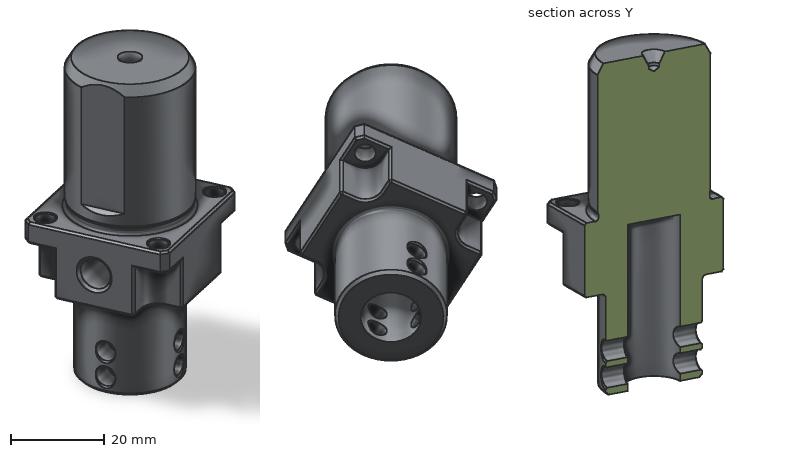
import cadquery as cq

HEIGHT = 75.5
BLOCK_BOTTOM = 23.0
FLANGE_BOTTOM = 34.9
FLANGE_TOP = 40.0

BLOCK_SIDE = 34.5
HALF_SIDE = BLOCK_SIDE / 2
EDGE_CHAMFER = 0.5
FLANGE_CORNER_CHAMFER = 1.5
MOUNT_OFFSET = 13.5
MOUNT_DIAMETER = 4.5
MOUNT_CHAMFER = 0.265
RELIEF_RADIUS = 4.0
ARM_HALF_WIDTH = MOUNT_OFFSET - RELIEF_RADIUS

CAP_RADIUS = 14.05
CAP_TOP_RADIUS = 12.6
CAP_CHAMFER_HEIGHT = 2.4
CAP_BOTTOM = 42.0
NECK_RADIUS = 13.8
NECK_TOP = 41.4
NECK_FILLET = 0.8
FLAT_DISTANCE = 13.05
FLAT_BOTTOM = 45.0

RECESS_RADIUS = 15.2
RECESS_INNER_RADIUS = 14.4
RECESS_DEPTH = 0.11

CENTRE_MOUTH_RADIUS = 2.65
CENTRE_PILOT_RADIUS = 1.3
CENTRE_CONE_DEPTH = 2.5
PILOT_DEPTH = 0.75
PILOT_TIP_DEPTH = 0.75

SPIGOT_RADIUS = 12.0
SPIGOT_FILLET = 1.0
SPIGOT_CHAMFER = 0.75
BORE_RADIUS = 6.5
BORE_TOP = 37.75

PORT_HEIGHT = 31.0
PORT_RADIUS = 3.55
PORT_CHAMFER = 0.7
SPIGOT_HOLE_HEIGHTS = (4.0, 10.05)
SPIGOT_HOLE_RADIUS = 2.3
SPIGOT_HOLE_CHAMFER = 0.4


def slab(bottom):
    """Workplane parallel to the flange at the given height."""
    return cq.Workplane("XY", origin=(0, 0, bottom))


def revolve_profile(profile):
    """Close a half profile along its axis and turn it about that axis, the vertical of its own plane."""
    return profile.close().revolve(360, (0, 0, 0), (0, 1, 0))


def make_flange():
    flange = slab(FLANGE_BOTTOM).rect(BLOCK_SIDE, BLOCK_SIDE).extrude(FLANGE_TOP - FLANGE_BOTTOM)
    flange = flange.edges("|Z").chamfer(FLANGE_CORNER_CHAMFER)
    return flange.faces("<Z or >Z").edges().chamfer(EDGE_CHAMFER)


def make_cross_body():
    height = FLANGE_BOTTOM + EDGE_CHAMFER - BLOCK_BOTTOM
    arm_width = 2 * ARM_HALF_WIDTH
    body = slab(BLOCK_BOTTOM).rect(BLOCK_SIDE, arm_width).extrude(height)
    body = body.union(slab(BLOCK_BOTTOM).rect(arm_width, BLOCK_SIDE).extrude(height))
    inner_edges = cq.selectors.BoxSelector(
        (-MOUNT_OFFSET, -MOUNT_OFFSET, BLOCK_BOTTOM),
        (MOUNT_OFFSET, MOUNT_OFFSET, FLANGE_TOP),
    )
    outer_edges = cq.selectors.StringSyntaxSelector("|Z") - inner_edges
    body = body.edges(outer_edges).chamfer(EDGE_CHAMFER)
    body = body.edges("|Z").edges(inner_edges).fillet(RELIEF_RADIUS)
    return body.faces("<Z").edges().chamfer(EDGE_CHAMFER)


def make_cap():
    """Cap, undercut neck and its concave foot, with the wrench flat on the -Y side."""
    foot_bottom = FLANGE_TOP - RECESS_DEPTH
    foot_top = foot_bottom + NECK_FILLET
    profile = (
        cq.Workplane("XZ")
        .moveTo(0, foot_bottom)
        .lineTo(NECK_RADIUS + NECK_FILLET, foot_bottom)
        .radiusArc((NECK_RADIUS, foot_top), NECK_FILLET)
        .lineTo(NECK_RADIUS, NECK_TOP)
        .lineTo(CAP_RADIUS, CAP_BOTTOM)
        .lineTo(CAP_RADIUS, HEIGHT - CAP_CHAMFER_HEIGHT)
        .lineTo(CAP_TOP_RADIUS, HEIGHT)
        .lineTo(0, HEIGHT)
    )
    cap = revolve_profile(profile)
    flat_depth = CAP_RADIUS - FLAT_DISTANCE
    flat_cut = (
        cq.Workplane("YZ")
        .moveTo(-FLAT_DISTANCE, HEIGHT)
        .lineTo(-FLAT_DISTANCE, FLAT_BOTTOM)
        .lineTo(-CAP_RADIUS, FLAT_BOTTOM - flat_depth)
        .lineTo(-CAP_RADIUS, HEIGHT)
        .close()
        .extrude(CAP_RADIUS, both=True)
    )
    return cap.cut(flat_cut)


def make_recess():
    floor = FLANGE_TOP - RECESS_DEPTH
    profile = (
        cq.Workplane("XZ")
        .moveTo(0, floor)
        .lineTo(RECESS_INNER_RADIUS, floor)
        .lineTo(RECESS_RADIUS, FLANGE_TOP)
        .lineTo(0, FLANGE_TOP)
    )
    return revolve_profile(profile)


def make_spigot():
    profile = (
        cq.Workplane("XZ")
        .moveTo(0, 0)
        .lineTo(SPIGOT_RADIUS - SPIGOT_CHAMFER, 0)
        .lineTo(SPIGOT_RADIUS, SPIGOT_CHAMFER)
        .lineTo(SPIGOT_RADIUS, BLOCK_BOTTOM - SPIGOT_FILLET)
        .radiusArc((SPIGOT_RADIUS + SPIGOT_FILLET, BLOCK_BOTTOM), SPIGOT_FILLET)
        .lineTo(0, BLOCK_BOTTOM)
    )
    return revolve_profile(profile)


def make_centre_hole():
    cone_bottom = HEIGHT - CENTRE_CONE_DEPTH
    pilot_bottom = cone_bottom - PILOT_DEPTH
    profile = (
        cq.Workplane("XZ")
        .moveTo(0, HEIGHT)
        .lineTo(CENTRE_MOUTH_RADIUS, HEIGHT)
        .lineTo(CENTRE_PILOT_RADIUS, cone_bottom)
        .lineTo(CENTRE_PILOT_RADIUS, pilot_bottom)
        .lineTo(0, pilot_bottom - PILOT_TIP_DEPTH)
    )
    return revolve_profile(profile)


def make_side_hole(height, surface_distance, radius, chamfer):
    """Hole cutter from the axis out to the -Y side, flared at 45 degrees where it leaves the part."""
    flare_start = surface_distance - chamfer
    profile = (
        cq.Workplane("XY")
        .lineTo(radius, 0)
        .lineTo(radius, -flare_start)
        .lineTo(radius + chamfer, -surface_distance)
        .lineTo(0, -surface_distance)
    )
    return revolve_profile(profile).translate((0, 0, height))


def make_mounting_holes():
    pitch = 2 * MOUNT_OFFSET
    top_radius = MOUNT_DIAMETER / 2 + MOUNT_CHAMFER
    hole = slab(FLANGE_BOTTOM).circle(MOUNT_DIAMETER / 2).extrude(FLANGE_TOP - FLANGE_BOTTOM)
    mouth = cq.Solid.makeCone(
        MOUNT_DIAMETER / 2, top_radius, MOUNT_CHAMFER, cq.Vector(0, 0, FLANGE_TOP - MOUNT_CHAMFER)
    )
    cutter = hole.union(cq.Workplane(mouth)).val()
    corners = cq.Workplane("XY").rect(pitch, pitch, forConstruction=True).vertices()
    return corners.eachpoint(lambda corner: cutter.moved(corner), combine=False)


result = make_flange().union(make_cross_body())
result = result.cut(make_recess()).union(make_cap()).union(make_spigot())
result = result.cut(make_mounting_holes()).cut(make_centre_hole())
result = result.cut(slab(0).circle(BORE_RADIUS).extrude(BORE_TOP))
result = result.cut(make_side_hole(PORT_HEIGHT, HALF_SIDE, PORT_RADIUS, PORT_CHAMFER))

for hole_height in SPIGOT_HOLE_HEIGHTS:
    spigot_hole = make_side_hole(hole_height, SPIGOT_RADIUS, SPIGOT_HOLE_RADIUS, SPIGOT_HOLE_CHAMFER)
    for turn in (-90, 0, 90):
        result = result.cut(spigot_hole.rotate((0, 0, 0), (0, 0, 1), turn))